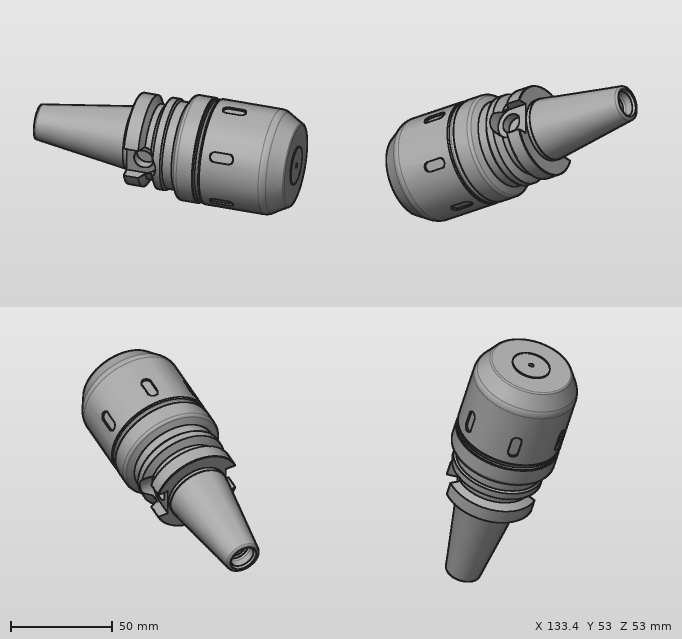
import cadquery as cq
import math


COS_45 = math.sqrt(0.5)

TAPER_RATE = 7 / 24
SHANK_SMALL_R = 9.0
SHANK_ROUND = 1.1
SHANK_FACE_R = SHANK_SMALL_R - SHANK_ROUND
TAPER_END_X = 48.3
TAPER_END_R = SHANK_SMALL_R + (TAPER_END_X - SHANK_ROUND) * TAPER_RATE / 2
NECK_R = 15.6

FLANGE_X = 50.4
FLANGE_R = 46.0 / 2
FLANGE_CHAMFER = 0.3
GROOVE_START_X = 60.3
GROOVE_END_X = 63.5
GROOVE_R = 38.0 / 2
GROOVE_HALF_ANGLE = math.radians(30)
GROOVE_RUN = (FLANGE_R - GROOVE_R) * math.tan(GROOVE_HALF_ANGLE)
FLANGE_END_X = 69.5
WAIST_X = 70.5
WAIST_R = 44 / 2

OUTER_R = 53.0 / 2
COLLAR_X = 75.2
COLLAR_FILLET = 2.0
COLLAR_END_X = 87.5
COLLAR_CHAMFER = 0.4
COLLAR_SLOPE = math.radians(60)
COLLAR_CONE_LENGTH = (OUTER_R - WAIST_R) / math.tan(COLLAR_SLOPE)

STEM_R = 31.3 / 2
STEM_SHOULDER_X = 120.9
TIP_R = 19.1 / 2
BODY_END_X = 133.4

MOUTH_R = 7.1
MOUTH_SLOPE = math.radians(30)
COUNTERBORE_R = 12.5 / 2
COUNTERBORE_END_X = 5.3
THREAD_CHAMFER_X = 6.7
THREAD_CHAMFER_R = 12.0 / 2
THREAD_R = 10.1 / 2
THREAD_END_X = 24.0
PILOT_R = 9.0 / 2
PILOT_END_X = 26.7
DRILL_POINT_R = 8.3 / 2
DRILL_TIP_R = 1.5
DRILL_SLOPE = math.radians(30)
COOLANT_R = 2.3 / 2

KEYWAY_RADIUS = 16.1 / 2
KEYWAY_CENTRE_X = 59.2
KEYWAY_FLOOR_Y = 16.1
KEYWAY_HOLE_R = 10.0 / 2
KEYWAY_HOLE_DEPTH = 5.0

NUT_X = 88.3
NUT_RIM_R = 26.0
NUT_RIM_FILLET = 1.0
NUT_RIM_END_X = 90.2
NUT_BARREL_X = 91.0
NUT_NOSE_X = 121.1
NUT_NOSE_FILLET = 7.2
NUT_NOSE_SLOPE = math.radians(30)
NUT_END_X = 132.9
NUT_END_FILLET = 1.1

SLOT_COUNT = 6
SLOT_FIRST_ANGLE = 30
SLOT_CENTRE_X = 101.4
SLOT_LENGTH = 12.0
SLOT_WIDTH = 5.1
SLOT_DEPTH = 1.13


def revolve_about_x(profile):
    """Turn a closed (x, radius) outline about the X axis."""
    return profile.close().revolve(360, (0, 0, 0), (1, 0, 0))


def body_blank():
    rounding_mid = (SHANK_ROUND * (1 - COS_45), SHANK_FACE_R + SHANK_ROUND * COS_45)
    cone_end_x = COLLAR_X + COLLAR_CONE_LENGTH
    setback = COLLAR_FILLET * math.tan(COLLAR_SLOPE / 2)
    fillet_start = (
        cone_end_x - setback * math.cos(COLLAR_SLOPE),
        OUTER_R - setback * math.sin(COLLAR_SLOPE),
    )
    fillet_end_x = cone_end_x + setback
    fillet_mid = (
        fillet_end_x - COLLAR_FILLET * math.sin(COLLAR_SLOPE / 2),
        OUTER_R - COLLAR_FILLET * (1 - math.cos(COLLAR_SLOPE / 2)),
    )
    profile = (
        cq.Workplane("XY")
        .moveTo(0, 0)
        .lineTo(0, SHANK_FACE_R)
        .threePointArc(rounding_mid, (SHANK_ROUND, SHANK_SMALL_R))
        .lineTo(TAPER_END_X, TAPER_END_R)
        .lineTo(TAPER_END_X, NECK_R)
        .lineTo(FLANGE_X, NECK_R)
        .lineTo(FLANGE_X, FLANGE_R - FLANGE_CHAMFER)
        .lineTo(FLANGE_X + FLANGE_CHAMFER, FLANGE_R)
        .lineTo(GROOVE_START_X - GROOVE_RUN, FLANGE_R)
        .lineTo(GROOVE_START_X, GROOVE_R)
        .lineTo(GROOVE_END_X, GROOVE_R)
        .lineTo(GROOVE_END_X + GROOVE_RUN, FLANGE_R)
        .lineTo(FLANGE_END_X, FLANGE_R)
        .lineTo(WAIST_X, WAIST_R)
        .lineTo(COLLAR_X, WAIST_R)
        .lineTo(*fillet_start)
        .threePointArc(fillet_mid, (fillet_end_x, OUTER_R))
        .lineTo(COLLAR_END_X - COLLAR_CHAMFER, OUTER_R)
        .lineTo(COLLAR_END_X, OUTER_R - COLLAR_CHAMFER)
        .lineTo(COLLAR_END_X, STEM_R)
        .lineTo(STEM_SHOULDER_X, STEM_R)
        .lineTo(STEM_SHOULDER_X, TIP_R)
        .lineTo(BODY_END_X, TIP_R)
        .lineTo(BODY_END_X, 0)
    )
    return revolve_about_x(profile)


def body_bore():
    mouth_depth = (MOUTH_R - COUNTERBORE_R) / math.tan(MOUTH_SLOPE)
    thread_x = THREAD_CHAMFER_X + THREAD_CHAMFER_R - THREAD_R
    drill_point_x = PILOT_END_X + (DRILL_POINT_R - DRILL_TIP_R) / math.tan(DRILL_SLOPE)
    profile = (
        cq.Workplane("XY")
        .moveTo(0, 0)
        .lineTo(0, MOUTH_R)
        .lineTo(mouth_depth, COUNTERBORE_R)
        .lineTo(COUNTERBORE_END_X, COUNTERBORE_R)
        .lineTo(THREAD_CHAMFER_X, THREAD_CHAMFER_R)
        .lineTo(thread_x, THREAD_R)
        .lineTo(THREAD_END_X, THREAD_R)
        .lineTo(THREAD_END_X, PILOT_R)
        .lineTo(PILOT_END_X, PILOT_R)
        .lineTo(PILOT_END_X, DRILL_POINT_R)
        .lineTo(drill_point_x, DRILL_TIP_R)
        .lineTo(drill_point_x, COOLANT_R)
        .lineTo(BODY_END_X, COOLANT_R)
        .lineTo(BODY_END_X, 0)
    )
    return revolve_about_x(profile)


def keyway(side):
    """Open-ended drive keyway with a blind hole in its floor; side is -1 or 1 along Y."""
    outward = cq.Plane((KEYWAY_CENTRE_X, side * KEYWAY_FLOOR_Y, 0), (1, 0, 0), (0, side, 0))
    reach = FLANGE_R - KEYWAY_FLOOR_Y
    open_length = KEYWAY_CENTRE_X - FLANGE_X
    rounded_end = cq.Workplane(outward).circle(KEYWAY_RADIUS).extrude(reach)
    open_end = (
        cq.Workplane(outward)
        .center(-open_length / 2, 0)
        .rect(open_length, 2 * KEYWAY_RADIUS)
        .extrude(reach)
    )
    hole = cq.Workplane(outward).circle(KEYWAY_HOLE_R).extrude(-KEYWAY_HOLE_DEPTH)
    return rounded_end.union(open_end).union(hole)


def make_body():
    body = body_blank().cut(body_bore())
    for side in (-1, 1):
        body = body.cut(keyway(side))
    return body


def nut_blank():
    rim_mid = (
        NUT_X + NUT_RIM_FILLET * (1 - COS_45),
        NUT_RIM_R - NUT_RIM_FILLET * (1 - COS_45),
    )

    def nose_point(angle):
        x = NUT_NOSE_X + NUT_NOSE_FILLET * math.sin(angle)
        return x, OUTER_R - NUT_NOSE_FILLET * (1 - math.cos(angle))

    cone_x, cone_r = nose_point(NUT_NOSE_SLOPE)
    end_centre_x = NUT_END_X - NUT_END_FILLET
    end_tangent_x = end_centre_x + NUT_END_FILLET * math.sin(NUT_NOSE_SLOPE)
    end_tangent_r = cone_r - (end_tangent_x - cone_x) * math.tan(NUT_NOSE_SLOPE)
    end_centre_r = end_tangent_r - NUT_END_FILLET * math.cos(NUT_NOSE_SLOPE)
    end_mid = (
        end_centre_x + NUT_END_FILLET * math.cos(NUT_NOSE_SLOPE),
        end_centre_r + NUT_END_FILLET * math.sin(NUT_NOSE_SLOPE),
    )
    profile = (
        cq.Workplane("XY")
        .moveTo(NUT_X, STEM_R)
        .lineTo(NUT_X, NUT_RIM_R - NUT_RIM_FILLET)
        .threePointArc(rim_mid, (NUT_X + NUT_RIM_FILLET, NUT_RIM_R))
        .lineTo(NUT_RIM_END_X, NUT_RIM_R)
        .lineTo(NUT_BARREL_X, OUTER_R)
        .lineTo(NUT_NOSE_X, OUTER_R)
        .threePointArc(nose_point(NUT_NOSE_SLOPE / 2), (cone_x, cone_r))
        .lineTo(end_tangent_x, end_tangent_r)
        .threePointArc(end_mid, (NUT_END_X, end_centre_r))
        .lineTo(NUT_END_X, TIP_R)
        .lineTo(STEM_SHOULDER_X, TIP_R)
        .lineTo(STEM_SHOULDER_X, STEM_R)
    )
    return revolve_about_x(profile)


def spanner_slot(angle):
    """Flat-bottomed rounded slot; the angle turns it about X from the +Y direction."""
    floor_plane = cq.Plane((SLOT_CENTRE_X, OUTER_R - SLOT_DEPTH, 0), (1, 0, 0), (0, 1, 0))
    slot = cq.Workplane(floor_plane).slot2D(SLOT_LENGTH, SLOT_WIDTH).extrude(2 * SLOT_DEPTH)
    return slot.rotate((0, 0, 0), (1, 0, 0), angle)


def make_nut():
    nut = nut_blank()
    for index in range(SLOT_COUNT):
        nut = nut.cut(spanner_slot(SLOT_FIRST_ANGLE + index * 360 / SLOT_COUNT))
    return nut


body = make_body()
nut = make_nut()
result = cq.Compound.makeCompound([body.val(), nut.val()])